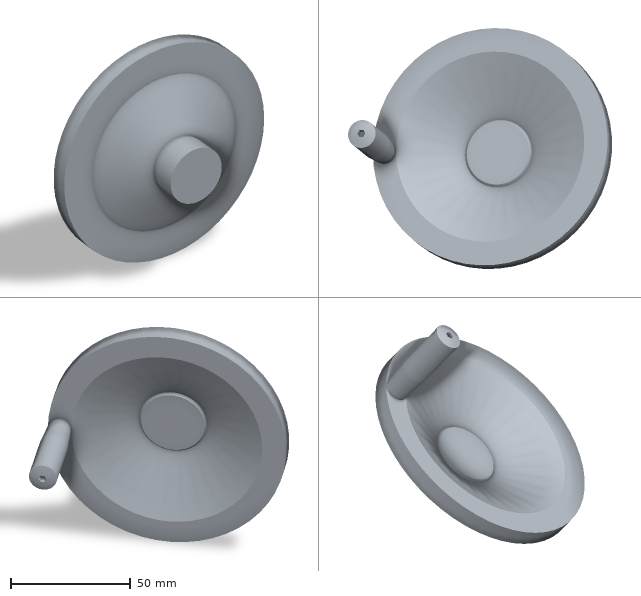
import cadquery as cq
import math

wheel_diameter = 101.6
rim_width = 7.94
rim_face_width = 10.1
cone_diameter_at_rim = 72.8
hub_diameter = 25.9
hub_start = 19.05
hub_end = 31.75

dish_depth = 14.35
boss_base_diameter = 28.9
boss_face_diameter = 27.0
boss_height = 1.0

handle_diameter = 11.94
handle_root_diameter = 10.0
handle_length = 39.66
handle_taper_length = 13.97
handle_dome_height = 1.06
handle_offset = 45.8
socket_across_flats = 3.0
socket_depth = 3.0

dish_diameter = wheel_diameter - 2 * rim_face_width
hex_corner_ratio = 2 / math.sqrt(3)


def make_wheel():
    """Revolve the half section of rim, web, hub and boss about the X axis."""
    section = (
        cq.Workplane("XY")
        .moveTo(dish_depth - boss_height, 0)
        .lineTo(dish_depth - boss_height, boss_face_diameter / 2)
        .lineTo(dish_depth, boss_base_diameter / 2)
        .lineTo(0, dish_diameter / 2)
        .lineTo(0, wheel_diameter / 2)
        .lineTo(rim_width, wheel_diameter / 2)
        .lineTo(rim_width, cone_diameter_at_rim / 2)
        .lineTo(hub_start, hub_diameter / 2)
        .lineTo(hub_end, hub_diameter / 2)
        .lineTo(hub_end, 0)
        .close()
    )
    return section.revolve(360, (0, 0, 0), (1, 0, 0))


def make_handle():
    """Revolve the tapered grip with its domed end about the handle axis."""
    radius = handle_diameter / 2
    dome_edge = -handle_length + handle_dome_height
    sphere_radius = (radius**2 + handle_dome_height**2) / (2 * handle_dome_height)
    mid_radius = radius / 2
    mid_drop = sphere_radius - math.sqrt(sphere_radius**2 - mid_radius**2)
    foot = rim_width / 2
    section = (
        cq.Workplane("XY")
        .moveTo(foot, 0)
        .lineTo(foot, handle_root_diameter / 2)
        .lineTo(0, handle_root_diameter / 2)
        .lineTo(-handle_taper_length, radius)
        .lineTo(dome_edge, radius)
        .threePointArc((-handle_length + mid_drop, mid_radius), (-handle_length, 0))
        .close()
    )
    handle = section.revolve(360, (0, 0, 0), (1, 0, 0))
    return handle.cut(make_socket()).translate((0, handle_offset, 0))


def make_socket():
    """Hexagon socket in the domed end, with corners pointing along Y."""
    return (
        cq.Workplane("YZ", origin=(-handle_length, 0, 0))
        .polygon(6, socket_across_flats * hex_corner_ratio)
        .extrude(socket_depth)
    )


result = make_wheel().union(make_handle())